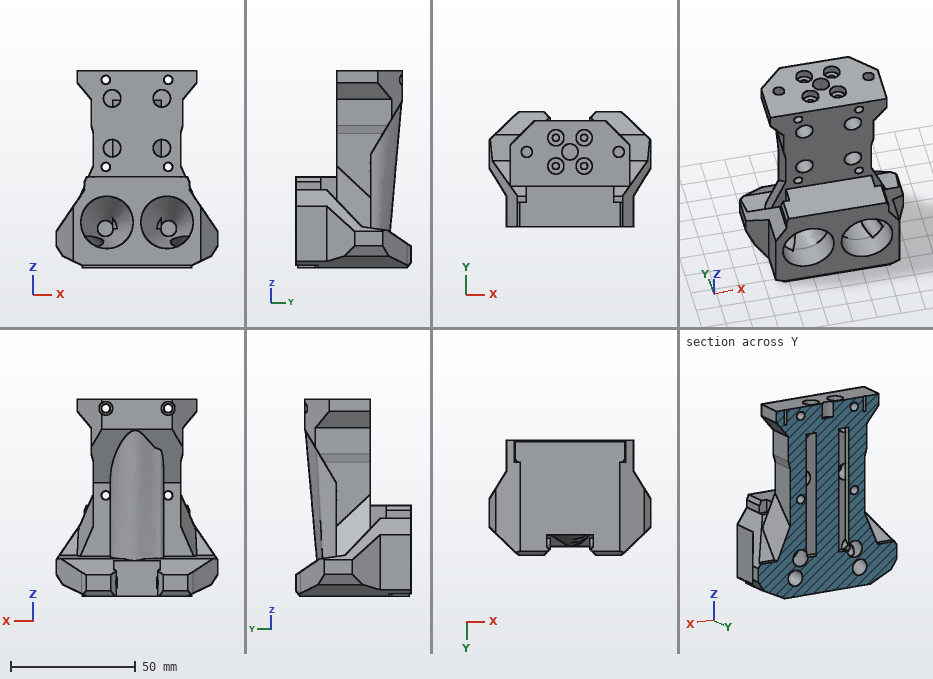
import cadquery as cq
import math

SIDES = (-1, 1)

HEAD_WIDTH = 65.0
HEAD_DEPTH = 46.35
BLOCK_HALF = 25.55
SHOULDER_Y = 12.4
SHOULDER_Z = 31.4
SHOULDER_HALF = 21.1
WING_SIDE_Y = (23.65, 34.9)
WING_SIDE_Z = (8.9, 14.7)
UNDERSIDE_HALF = 20.0
UNDERCUT_CORNER = (29.9, 4.8)
CREST_FOOT_Y = 26.6
CREST_FOOT_Z = 16.6
TAIL_START_Y = 37.0
TAIL_START_Z = 15.1
TAIL_TOP_Z = 8.7
TAIL_BEVEL = (1.75, 2.2)
TAIL_OUTER_HALF = 20.5
TAIL_INNER_HALF = 10.5
TAIL_CORNER = (22.45, 44.7)
TIP_CORNER = (8.3, 44.0)
TIP_NECK_Y = 42.85
WING_GAP_Y = 38.1
WING_GAP_HALF = 9.3

STEP_DEPTH = 8.9
STEP_HEIGHT = 1.2
PAD_FRONT = 0.7
PAD_HALF = 22.0
PAD_CORNER = 1.0

BAR_TOP = 36.65
BAR_EDGE_Z = 34.6
BAR_TOP_HALF = 20.2
BAR_LIP_DEPTH = 10.0

HEIGHT = 79.35
COLUMN_FRONT = 16.35
COLUMN_BACK = 42.8
COLUMN_TOP_HALF = 24.05
COLUMN_UPPER_HALF = 18.5
COLUMN_LOWER_HALF = 17.6
WAIST_Z = (54.2, 57.45)
CAP_Z = (67.8, 74.4)
BACK_CHAMFER = 9.8
SPINE_Y = 30.1
SPINE_Z = 45.6
BULGE_HALF = 10.8
BULGE_STEPS = 4
BULGE_TOP_Z = 67.1
BULGE_TOP_REACH = 12.45
BULGE_FOOT_REACH = 6.5
FLARE_Z = 41.1
FLARE_FOOT_Z = 14.3
FLARE_FALL = 0.94
FLARE_WIDEN = 0.43

SCREW_DIAMETER = 3.4
SCREW_HEAD_DIAMETER = 5.5
SCREW_HEAD_DEPTH = 3.2
SCREW_X = 12.5
SCREW_Z = (40.6, 75.6)
POCKET_DIAMETER = 7.0
POCKET_X = 10.0
POCKET_Z = (48.2, 68.2)
POCKET_FLOOR_Y = 25.4

TOP_CENTER_Y = 30.15
CENTER_DIAMETER = 6.5
CENTER_DEPTH = 6.35
CORNER_PITCH = 11.35
CORNER_DIAMETER = 2.8
CORNER_DEPTH = 7.15
COUNTERBORE_DIAMETER = 6.5
COUNTERBORE_DEPTH = 3.3
DOWEL_DIAMETER = 4.4
DOWEL_PITCH = 37.0
DOWEL_OFFSET = 1.1
DOWEL_DEPTH = 6.35

BORE_DIAMETER = 21.0
BORE_X = 12.1
BORE_Z = 18.3
BORE_DEPTH = 10.0
FUNNEL_END = (12.7, 28.6, 15.9)
FUNNEL_END_DIAMETER = 6.35
CHANNEL_TOP_Z = 67.4
CHANNEL_OUTER_X = 9.8
CHANNEL_INNER_X = 2.4
CHANNEL_BACK_Y = 31.75
WING_DUCT_DIAMETER = 6.35
WING_DUCT_START = (18.25, 9.5, 11.1)

SLEEVE_DIAMETER = 4.3
SLEEVE_BORE = 2.8
SLEEVE_Y = 41.65
SLEEVE_Z = 5.55
SLEEVE_X = (7.85, 12.7)


def mirrored(half):
    """Close a right-hand half outline with its mirror image."""
    return half + [(-x, v) for x, v in reversed(half)]


def plan_prism(points, bottom, top):
    """Extrude an XY outline from Z = bottom to Z = top."""
    return cq.Workplane("XY").workplane(offset=bottom).polyline(points).close().extrude(top - bottom)


def front_prism(points, front, back):
    """Extrude an XZ outline from Y = front to Y = back."""
    return cq.Workplane("XZ", origin=(0, front, 0)).polyline(points).close().extrude(front - back)


def side_prism(points):
    """Extrude a YZ outline across the whole width."""
    return cq.Workplane("YZ").polyline(points).close().extrude(HEAD_WIDTH, both=True)


def cylinder(start, end, diameter):
    """Cylinder between two points."""
    axis = cq.Vector(*end) - cq.Vector(*start)
    return cq.Workplane(cq.Solid.makeCylinder(diameter / 2, axis.Length, cq.Vector(*start), axis))


def make_head_plan(height):
    """Plan outline of the block with its wings, from the underside up to a height."""
    return plan_prism(
        mirrored([
            (BLOCK_HALF, 0),
            (BLOCK_HALF, SHOULDER_Y),
            (HEAD_WIDTH / 2, WING_SIDE_Y[0]),
            (HEAD_WIDTH / 2, WING_SIDE_Y[1]),
            TAIL_CORNER,
            (TAIL_OUTER_HALF, HEAD_DEPTH),
            (TAIL_INNER_HALF, HEAD_DEPTH),
            TIP_CORNER,
            (WING_GAP_HALF, TIP_NECK_Y),
            (WING_GAP_HALF, WING_GAP_Y),
        ]), 0, height)


def make_head():
    """Common volume of the plan, front and side outlines of the block with its wings."""
    front = front_prism(
        mirrored([
            (UNDERSIDE_HALF, 0),
            UNDERCUT_CORNER,
            (HEAD_WIDTH / 2, WING_SIDE_Z[0]),
            (HEAD_WIDTH / 2, WING_SIDE_Z[1]),
            (SHOULDER_HALF, SHOULDER_Z),
        ]), 0, HEAD_DEPTH)
    side = side_prism([
        (0, STEP_HEIGHT),
        (STEP_DEPTH, STEP_HEIGHT),
        (STEP_DEPTH, 0),
        (HEAD_DEPTH - TAIL_BEVEL[0], 0),
        (HEAD_DEPTH, TAIL_BEVEL[1]),
        (HEAD_DEPTH, TAIL_TOP_Z),
        (TAIL_START_Y, TAIL_START_Z),
        (CREST_FOOT_Y, CREST_FOOT_Z),
        (SHOULDER_Y, SHOULDER_Z),
        (0, SHOULDER_Z),
    ])
    return make_head_plan(SHOULDER_Z).intersect(front).intersect(side)


def make_foot_pad():
    """Pad in the front step, with its rear corners cut off."""
    return plan_prism(
        mirrored([
            (PAD_HALF, PAD_FRONT),
            (PAD_HALF, STEP_DEPTH - PAD_CORNER),
            (PAD_HALF - PAD_CORNER, STEP_DEPTH),
        ]), 0, STEP_HEIGHT)


def make_bar():
    """Raised bar: a bevelled lip at the front and a narrower neck to the column."""
    lip = front_prism(
        mirrored([
            (SHOULDER_HALF, BORE_Z),
            (SHOULDER_HALF, BAR_EDGE_Z),
            (BAR_TOP_HALF, BAR_TOP),
        ]), 0, BAR_LIP_DEPTH)
    neck = front_prism(
        mirrored([(COLUMN_LOWER_HALF, BORE_Z), (COLUMN_LOWER_HALF, BAR_TOP)]),
        BAR_LIP_DEPTH, COLUMN_FRONT)
    return lip.union(neck)


def make_column():
    """Column whose front, plan and side outlines are intersected."""
    front = front_prism(
        mirrored([
            (COLUMN_LOWER_HALF, 0),
            (COLUMN_LOWER_HALF, WAIST_Z[0]),
            (COLUMN_UPPER_HALF, WAIST_Z[1]),
            (COLUMN_UPPER_HALF, CAP_Z[0]),
            (COLUMN_TOP_HALF, CAP_Z[1]),
            (COLUMN_TOP_HALF, HEIGHT),
        ]), COLUMN_FRONT, COLUMN_BACK)
    plan = plan_prism(
        mirrored([
            (COLUMN_TOP_HALF, COLUMN_FRONT),
            (COLUMN_TOP_HALF, COLUMN_BACK - BACK_CHAMFER),
            (COLUMN_TOP_HALF - BACK_CHAMFER, COLUMN_BACK),
        ]), 0, HEIGHT)
    side = side_prism([
        (COLUMN_FRONT, 0),
        (COLUMN_FRONT, HEIGHT),
        (COLUMN_BACK, HEIGHT),
        (COLUMN_BACK, BULGE_TOP_Z),
        (SPINE_Y, SPINE_Z),
        (SPINE_Y, 0),
    ])
    return front.intersect(plan).intersect(side)


def bulge_section(reach, z):
    """Half ellipse behind the spine at height z."""
    def ellipse_point(angle):
        x = BULGE_HALF * math.cos(angle)
        y = SPINE_Y + reach * math.sin(angle)
        return cq.Vector(x, y, z)
    points = [ellipse_point(math.pi * step / BULGE_STEPS) for step in range(BULGE_STEPS + 1)]
    arc = cq.Edge.makeSpline(points, tangents=[cq.Vector(0, 1, 0), cq.Vector(0, -1, 0)])
    return cq.Wire.assembleEdges([arc, cq.Edge.makeLine(points[-1], points[0])])


def make_bulge():
    """Rounded back of the column, reaching further back towards the top."""
    sections = [bulge_section(BULGE_FOOT_REACH, 0), bulge_section(BULGE_TOP_REACH, BULGE_TOP_Z)]
    return cq.Workplane(cq.Solid.makeLoft(sections, True))


def make_flare():
    """Foot of the column, widening downwards below an edge that falls towards the back."""
    def section(y):
        edge_z = FLARE_Z - FLARE_FALL * (y - COLUMN_FRONT)
        foot_half = COLUMN_LOWER_HALF + FLARE_WIDEN * (edge_z - FLARE_FOOT_Z)
        outline = mirrored([(foot_half, FLARE_FOOT_Z), (COLUMN_LOWER_HALF, edge_z)])
        return cq.Wire.makePolygon([cq.Vector(x, y, z) for x, z in outline], close=True)
    flare = cq.Workplane(cq.Solid.makeLoft([section(COLUMN_FRONT), section(SPINE_Y)], True))
    return flare.intersect(make_head_plan(FLARE_Z))


def make_front_holes():
    """Screw holes through the column and blind pockets in its front face."""
    holes = cq.Workplane()
    for side in SIDES:
        for z in SCREW_Z:
            x = side * SCREW_X
            holes = holes.add(cylinder((x, COLUMN_FRONT, z), (x, COLUMN_BACK, z), SCREW_DIAMETER))
        x = side * SCREW_X
        head_y = COLUMN_BACK - SCREW_HEAD_DEPTH
        top_z = SCREW_Z[1]
        holes = holes.add(cylinder((x, head_y, top_z), (x, COLUMN_BACK, top_z), SCREW_HEAD_DIAMETER))
        for z in POCKET_Z:
            x = side * POCKET_X
            holes = holes.add(cylinder((x, COLUMN_FRONT, z), (x, POCKET_FLOOR_Y, z), POCKET_DIAMETER))
    return holes.combine()


def cut_top_holes(body):
    """Centre hole, four counterbored holes around it and two dowel holes."""
    top = cq.Workplane("XY", origin=(0, TOP_CENTER_Y, HEIGHT))
    center = top.circle(CENTER_DIAMETER / 2).extrude(-CENTER_DEPTH)
    corners = top.rect(CORNER_PITCH, CORNER_PITCH, forConstruction=True).vertices()
    screws = corners.circle(CORNER_DIAMETER / 2).extrude(-CORNER_DEPTH)
    counterbores = corners.circle(COUNTERBORE_DIAMETER / 2).extrude(-COUNTERBORE_DEPTH)
    dowels = top.pushPoints([(DOWEL_OFFSET + side * DOWEL_PITCH / 2, 0) for side in SIDES])
    dowels = dowels.circle(DOWEL_DIAMETER / 2).extrude(-DOWEL_DEPTH)
    return body.cut(center).cut(screws).cut(counterbores).cut(dowels)


def sleeve_point(side, x):
    """Point on the axis of the outlet sleeve."""
    return (side * x, SLEEVE_Y, SLEEVE_Z)


def make_air_path(side):
    """Bore, its funnel into the column channel, and the duct to the wing tip."""
    bore = cylinder((side * BORE_X, 0, BORE_Z), (side * BORE_X, BORE_DEPTH, BORE_Z), BORE_DIAMETER)
    back = cq.Vector(0, 1, 0)
    mouth_center = cq.Vector(side * BORE_X, BORE_DEPTH, BORE_Z)
    end_x, end_y, end_z = FUNNEL_END
    funnel = cq.Workplane(cq.Solid.makeLoft([
        cq.Wire.makeCircle(BORE_DIAMETER / 2, mouth_center, back),
        cq.Wire.makeCircle(FUNNEL_END_DIAMETER / 2, cq.Vector(side * end_x, end_y, end_z), back),
    ]))
    channel = plan_prism([
        (side * CHANNEL_OUTER_X, POCKET_FLOOR_Y),
        (side * CHANNEL_INNER_X, POCKET_FLOOR_Y),
        (side * CHANNEL_OUTER_X, CHANNEL_BACK_Y),
    ], end_z, CHANNEL_TOP_Z)
    start_x, start_y, start_z = WING_DUCT_START
    duct = cylinder((side * start_x, start_y, start_z), sleeve_point(side, SLEEVE_X[1]), WING_DUCT_DIAMETER)
    return bore.union(funnel).union(channel).union(duct)


def make_sleeve_blank(side):
    """Solid cylinder that the outlet sleeve occupies in the wing tip."""
    return cylinder(sleeve_point(side, SLEEVE_X[0]), sleeve_point(side, SLEEVE_X[1]), SLEEVE_DIAMETER)


def make_body():
    """Head, bar, pad and column as one solid, with all its holes and ducts."""
    body = make_head().union(make_foot_pad()).union(make_bar())
    body = body.union(make_column()).union(make_bulge())
    body = body.union(make_flare())
    body = body.cut(make_front_holes())
    body = cut_top_holes(body)
    for side in SIDES:
        body = body.cut(make_air_path(side)).cut(make_sleeve_blank(side))
    return body


def make_sleeve(side):
    """Outlet sleeve that stands slightly out of the wing tip."""
    hole = cylinder(sleeve_point(side, SLEEVE_X[0]), sleeve_point(side, SLEEVE_X[1]), SLEEVE_BORE)
    return make_sleeve_blank(side).cut(hole)


body = make_body()
sleeves = [make_sleeve(side) for side in SIDES]

result = cq.Compound.makeCompound([body.val(), *[sleeve.val() for sleeve in sleeves]])